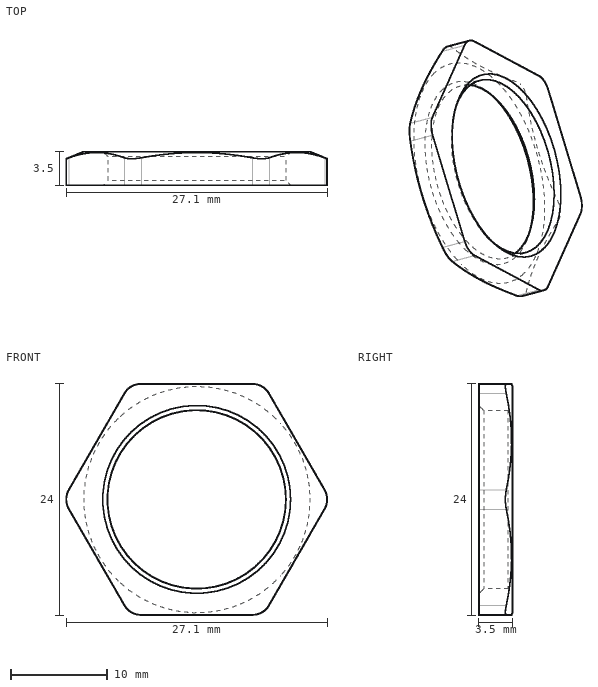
import cadquery as cq
import math

across_flats = 24.0
thickness = 3.5
corner_radius = 2.0
bore_diameter = 18.5
bore_chamfer = 0.5

bevel_face_diameter = 23.5
bevel_angle = 22.5

side_count = 6
across_corners = across_flats / math.cos(math.pi / side_count)


def revolve_about_axis(points):
    """Solid of revolution about Y from (radius, y) profile points."""
    return cq.Workplane("XY").polyline(points).close().revolve(360, (0, 0, 0), (0, 1, 0))


def hexagon_body():
    """Hexagonal plate with its six corners rounded."""
    plate = cq.Workplane("XZ").polygon(side_count, across_corners).extrude(-thickness)
    return plate.edges("|Y").fillet(corner_radius)


def bevel_envelope():
    """Turned blank that fully contains the hexagon except at the bevel."""
    face_radius = bevel_face_diameter / 2
    outer_radius = across_corners / 2
    bevel_drop = (outer_radius - face_radius) * math.tan(math.radians(bevel_angle))
    return revolve_about_axis([
        (0, 0),
        (outer_radius, 0),
        (outer_radius, thickness - bevel_drop),
        (face_radius, thickness),
        (0, thickness),
    ])


def bore_cutter():
    """Through bore with a 45 degree chamfer at both faces."""
    bore_radius = bore_diameter / 2
    mouth_radius = bore_radius + bore_chamfer
    return revolve_about_axis([
        (0, 0),
        (mouth_radius, 0),
        (bore_radius, bore_chamfer),
        (bore_radius, thickness - bore_chamfer),
        (mouth_radius, thickness),
        (0, thickness),
    ])


result = hexagon_body().intersect(bevel_envelope()).cut(bore_cutter())